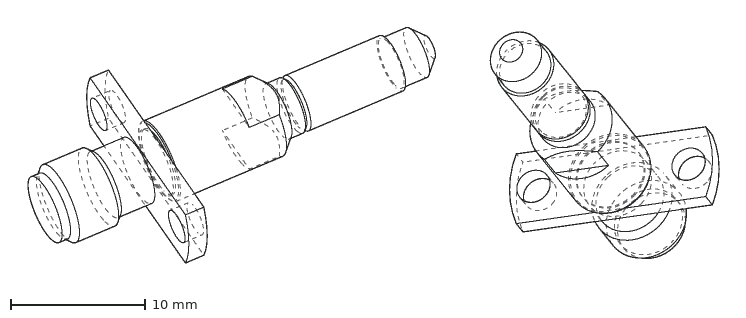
import cadquery as cq

total_length = 32.6

neck_radius = 2.67
collar_radius = 3.15
collar_chamfer = collar_radius - neck_radius
collar_start = 0.72
collar_end = 5.02

flange_start = 7.85
flange_thickness = 1.55
flange_end = flange_start + flange_thickness
flange_radius = 8.0
flange_height = 5.75
hole_offset = 6.1
hole_diameter = 2.6

body_start = 9.62
body_diameter = 6.5
body_radius = body_diameter / 2
body_chamfer = 0.1
shoulder_start = 18.7
flats_start = 16.17
flats_width = 4.95

barrel_radius = 2.25
shoulder_end = shoulder_start + body_radius - barrel_radius
groove_center = 21.1
groove_depth = 0.23
barrel_end = 29.35
tip_radius = 2.02
tip_end_radius = 0.9
tip_chamfer = tip_radius - tip_end_radius


def make_turned_body():
    """Revolve the half profile, given as (radius, Y) points, about the Y axis."""
    profile = [
        (0, 0),
        (neck_radius, 0),
        (neck_radius, collar_start),
        (collar_radius, collar_start + collar_chamfer),
        (collar_radius, collar_end - collar_chamfer),
        (neck_radius, collar_end),
        (neck_radius, body_start),
        (body_radius - body_chamfer, body_start),
        (body_radius, body_start + body_chamfer),
        (body_radius, shoulder_start),
        (barrel_radius, shoulder_end),
        (barrel_radius, groove_center - groove_depth),
        (barrel_radius - groove_depth, groove_center),
        (barrel_radius, groove_center + groove_depth),
        (barrel_radius, barrel_end),
        (tip_radius, barrel_end),
        (tip_radius, total_length - tip_chamfer),
        (tip_end_radius, total_length),
        (0, total_length),
    ]
    return cq.Workplane("XY").polyline(profile).close().revolve(360, (0, 0, 0), (0, 1, 0))


def cut_wrench_flats(body):
    """Cut the flats on the +Z and -Z sides, from flats_start through the shoulder."""
    cut_size = body_diameter
    for side in (1, -1):
        cutter = (
            cq.Workplane("XY")
            .box(cut_size, shoulder_end - flats_start, cut_size)
            .translate((0, (flats_start + shoulder_end) / 2, side * (flats_width + cut_size) / 2))
        )
        body = body.cut(cutter)
    return body


def make_flange():
    """Disc trimmed flat at top and bottom, with a mounting hole on each side."""
    plane = cq.Workplane("XZ", origin=(0, flange_end, 0))
    disc = plane.circle(flange_radius).extrude(flange_thickness)
    trim = plane.rect(2 * flange_radius, flange_height).extrude(flange_thickness)
    holes = (
        plane.pushPoints([(-hole_offset, 0), (hole_offset, 0)])
        .circle(hole_diameter / 2)
        .extrude(flange_thickness)
    )
    return disc.intersect(trim).cut(holes)


result = cut_wrench_flats(make_turned_body()).union(make_flange())